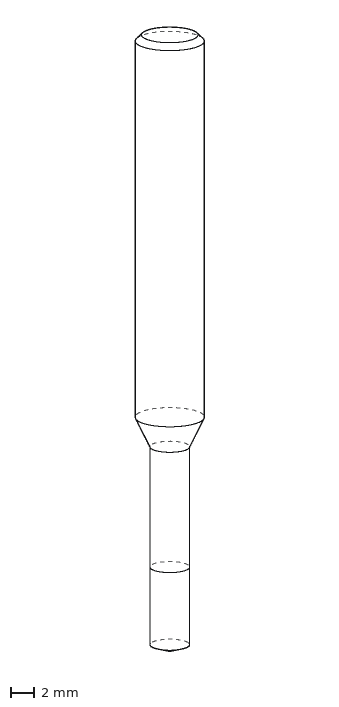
import cadquery as cq

TOTAL_LENGTH = 55.55
TIP_Z = -TOTAL_LENGTH / 2
TOP_Z = TOTAL_LENGTH / 2

SHANK_RADIUS = 3.0
CHAMFER = 0.55
SHOULDER_TOP_Z = TOP_Z - 34.45
SHOULDER_HEIGHT = 2.65
NECK_RADIUS = 1.7

HEAD_LENGTH = 7.6
HEAD_RADIUS = NECK_RADIUS
POINT_HEIGHT = 0.6
HEAD_TOP_Z = TIP_Z + HEAD_LENGTH


def revolve_profile(points):
    """Revolve a closed (radius, z) profile a full turn around the Z axis."""
    return cq.Workplane("XZ").polyline(points).close().revolve(360, (0, 0, 0), (0, 1, 0))


def make_shank():
    """Shank, shoulder and neck, down to the flat face that carries the head."""
    shoulder_bottom_z = SHOULDER_TOP_Z - SHOULDER_HEIGHT
    return revolve_profile([
        (0, HEAD_TOP_Z),
        (NECK_RADIUS, HEAD_TOP_Z),
        (NECK_RADIUS, shoulder_bottom_z),
        (SHANK_RADIUS, SHOULDER_TOP_Z),
        (SHANK_RADIUS, TOP_Z - CHAMFER),
        (SHANK_RADIUS - CHAMFER, TOP_Z),
        (0, TOP_Z),
    ])


def make_cutting_head():
    """Plain cylinder below the neck with a conical drill point."""
    return revolve_profile([
        (0, TIP_Z),
        (HEAD_RADIUS, TIP_Z + POINT_HEIGHT),
        (HEAD_RADIUS, HEAD_TOP_Z),
        (0, HEAD_TOP_Z),
    ])


shank = make_shank()
cutting_head = make_cutting_head()

result = cq.Compound.makeCompound([shank.val(), cutting_head.val()])